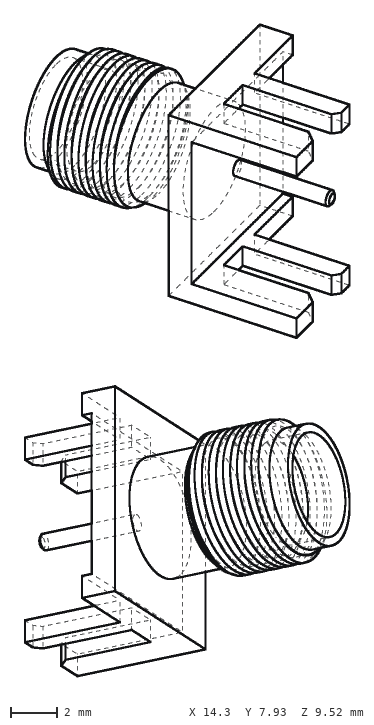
import cadquery as cq
import math

total_length = 14.28
plate_width = 7.93
plate_height = 9.52

plate_front = 7.9
plate_back = 9.05
flange_back = 9.54
leg_thickness = 1.03
narrow_leg_top = 0.64
narrow_leg_bottom = -0.39
wide_leg_top = -2.03
narrow_leg_chamfer = 0.31
wide_leg_chamfer = 0.51

barrel_radius = 2.7
bore_radius = 2.31
bore_depth = 1.85

collar_start = 0.93
collar_end = 5.14
thread_radius = 3.18
thread_pitch = 0.705
groove_depth = 0.31
groove_angle = 60.0
helix_start = 0.84
helix_turns = 6

pin_radius = 0.37
pin_end = 13.78
pin_chamfer = 0.11


def x_cylinder(radius, start, end):
    return cq.Workplane("YZ", origin=(start, 0, 0)).circle(radius).extrude(end - start)


def thread_groove():
    """Right-handed V groove that winds along X, starting above the axis."""
    overcut = 0.07
    root_radius = thread_radius - groove_depth
    outer_radius = thread_radius + overcut
    half_width = (groove_depth + overcut) * math.tan(math.radians(groove_angle / 2))
    helix = cq.Wire.makeHelix(thread_pitch, helix_turns * thread_pitch, root_radius)
    groove = (
        cq.Workplane("XZ")
        .moveTo(root_radius, 0)
        .lineTo(outer_radius, half_width)
        .lineTo(outer_radius, -half_width)
        .close()
        .sweep(cq.Workplane(helix), isFrenet=True)
    )
    along_x = groove.rotate((0, 0, 0), (0, 1, 0), 90).rotate((0, 0, 0), (1, 0, 0), 180)
    return along_x.translate((helix_start, 0, 0))


def threaded_collar():
    end_chamfer = thread_radius - barrel_radius
    collar = (
        cq.Workplane("XY")
        .moveTo(collar_start, 0)
        .lineTo(collar_start, -barrel_radius)
        .lineTo(collar_start + end_chamfer, -thread_radius)
        .lineTo(collar_end - end_chamfer, -thread_radius)
        .lineTo(collar_end, -barrel_radius)
        .lineTo(collar_end, 0)
        .close()
        .revolve(360, (0, 0, 0), (1, 0, 0))
    )
    return collar.cut(thread_groove())


def plate_with_legs():
    """Fork-shaped outline through the full height, opened up between the legs."""
    half_width = plate_width / 2
    body = (
        cq.Workplane("XY", origin=(0, 0, -plate_height / 2))
        .moveTo(plate_front, -half_width)
        .lineTo(total_length, -half_width)
        .lineTo(total_length, wide_leg_top - wide_leg_chamfer)
        .lineTo(total_length - wide_leg_chamfer, wide_leg_top)
        .lineTo(flange_back, wide_leg_top)
        .lineTo(flange_back, narrow_leg_bottom)
        .lineTo(total_length - narrow_leg_chamfer, narrow_leg_bottom)
        .lineTo(total_length, narrow_leg_bottom + narrow_leg_chamfer)
        .lineTo(total_length, narrow_leg_top)
        .lineTo(flange_back, narrow_leg_top)
        .lineTo(flange_back, half_width)
        .lineTo(plate_front, half_width)
        .close()
        .extrude(plate_height)
    )
    opening = cq.Workplane("XY").box(
        total_length - plate_back, plate_width, plate_height - 2 * leg_thickness
    ).translate(((plate_back + total_length) / 2, 0, 0))
    return body.cut(opening)


barrel = x_cylinder(barrel_radius, 0, plate_front)
bore = x_cylinder(bore_radius, 0, bore_depth)
pin = x_cylinder(pin_radius, plate_back, pin_end).faces(">X").chamfer(pin_chamfer)

result = plate_with_legs().union(barrel).union(threaded_collar()).cut(bore).union(pin)